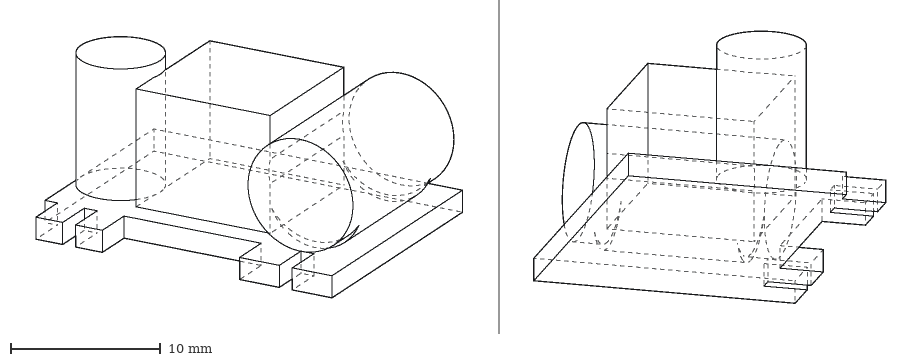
import cadquery as cq

board_length = 23.5
board_depth = 15.1
board_thickness = 1.58
tab_length = 3.0
narrow_tab_width = 2.05
wide_tab_width = 3.02
tab_gap = 0.98
tab_inset = 0.95

capacitor_diameter = 6.0
capacitor_height = 9.4
capacitor_rear_offset = 10.05

block_side = 10.2
block_height = 8.42
block_rear_offset = 3.0
block_left = 5.9

coil_diameter = 8.0
coil_length = 14.0
coil_rear_offset = 2.1
coil_right = 24.0
seat_radius = 3.6
seat_end_setback = 2.05

board_front = -board_depth
coil_center_x = coil_right - coil_diameter / 2
coil_center_z = board_thickness + block_height - coil_diameter / 2


def cylinder_along_y(radius, length, center_x, rear_y, center_z):
    """Solid cylinder running from rear_y toward the front."""
    return (
        cq.Workplane("XZ", origin=(center_x, rear_y, center_z))
        .circle(radius)
        .extrude(length)
    )


def make_capacitor():
    """Upright cylinder standing on the board."""
    radius = capacitor_diameter / 2
    return (
        cq.Workplane("XY", origin=(radius, -capacitor_rear_offset, board_thickness))
        .circle(radius)
        .extrude(capacitor_height)
    )


def make_board():
    """Flat plate with two narrow and two wide tabs along its front edge."""
    plate = cq.Workplane("XY").box(
        board_length, board_depth, board_thickness, centered=False
    ).translate((0, board_front, 0))
    second_narrow_left = tab_inset + narrow_tab_width + tab_gap
    last_wide_left = board_length - wide_tab_width
    first_wide_left = last_wide_left - tab_gap - wide_tab_width
    tabs = [
        (tab_inset, narrow_tab_width),
        (second_narrow_left, narrow_tab_width),
        (first_wide_left, wide_tab_width),
        (last_wide_left, wide_tab_width),
    ]
    for left, width in tabs:
        tab = cq.Workplane("XY").box(width, tab_length, board_thickness, centered=False)
        plate = plate.union(tab.translate((left, board_front - tab_length, 0)))
    return plate


def make_coil_block(capacitor):
    """Block joined to the coil and its seat, relieved where the capacitor meets it."""
    block = cq.Workplane("XY").box(
        block_side, block_side, block_height, centered=False
    ).translate((block_left, -block_rear_offset - block_side, board_thickness))
    coil = cylinder_along_y(
        coil_diameter / 2, coil_length, coil_center_x, -coil_rear_offset, coil_center_z
    )
    seat = cylinder_along_y(
        seat_radius,
        coil_length - 2 * seat_end_setback,
        coil_center_x,
        -coil_rear_offset - seat_end_setback,
        board_thickness + seat_radius,
    )
    return block.union(coil).union(seat).cut(capacitor).solids()


board = make_board()
capacitor = make_capacitor()
coil_block = make_coil_block(capacitor)

result = cq.Compound.makeCompound([board.val(), capacitor.val(), coil_block.val()])